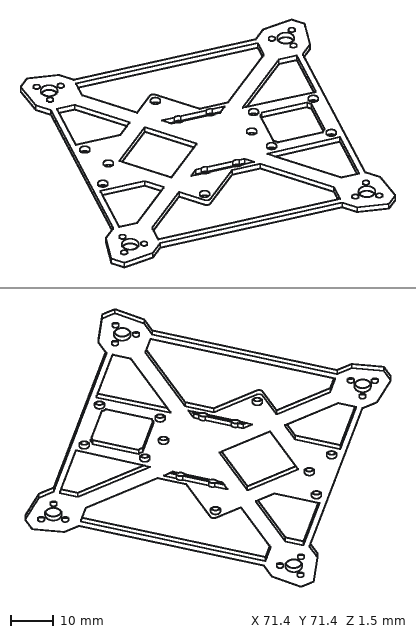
import cadquery as cq
import math


THICKNESS = 1.5
RAIL_OUTER = 31.65
RAIL_WIDTH = 1.5
RAIL_INNER = RAIL_OUTER - RAIL_WIDTH

ARM_WIDTH = 4.0
ARM_OFFSET = ARM_WIDTH / math.sqrt(2)

PAD_REACH = 35.71
PAD_NOSE = 33.25
PAD_SIDE = 34.47
PAD_INNER = 22.85
PAD_NECK = PAD_INNER + PAD_SIDE - RAIL_OUTER
MOTOR_DIAGONAL = 84.1
MOTOR_CENTRE = MOTOR_DIAGONAL / 2 / math.sqrt(2)
SHAFT_DIAMETER = 4.0
SCREW_DIAMETER = 1.6
SCREW_CIRCLE_RADIUS = 3.3
SCREW_COUNT = 3

PLATE_HALF_WIDTH = 8.95
PLATE_TOP_HALF_WIDTH = 8.75
WAIST_HALF_WIDTH = 11.9
BOLT_DIAMETER = 2.4

STACK_PITCH = 25.5
STACK_REACH = STACK_PITCH / math.sqrt(2)
STACK_Y = -7.03
TAB_TIP = 20.9
TAB_RADIUS = 1.0
CROSS_OUTER = TAB_TIP - STACK_Y
CROSS_INNER = CROSS_OUTER - 2 * ARM_OFFSET

BOLT_X = 6.6
CAMERA_Y = 21.22
CAMERA_BOLT_PITCH = 15.0
REAR_BOLT_Y = -28.7
WINDOW_WIDTH = 11.5
WINDOW_HEIGHT = 12.9
BOLT_LAND_RADIUS = 2.0

SLOT_WIDTH = 1.8
SLOT_X = PLATE_HALF_WIDTH + SLOT_WIDTH / 2
SLOT_BULGE_DIAMETER = 2.4
SLOT_BULGE_Y = 4.0


def prism(points):
    """Closed polygon extruded through the plate."""
    return cq.Workplane("XY").polyline(points).close().extrude(THICKNESS)


def discs(centres, diameter):
    """Round cutters or lands at the given centres."""
    return cq.Workplane("XY").pushPoints(centres).circle(diameter / 2).extrude(THICKNESS)


def both_sides(body):
    """A body on +X together with its mirror image on -X."""
    return body.union(body.mirror("YZ"))


def blank():
    """Outer outline: four pads joined by the straight outer edges of the rail."""
    corner = [
        (RAIL_OUTER, PAD_INNER),
        (PAD_SIDE, PAD_NECK),
        (PAD_REACH, PAD_NOSE),
        (PAD_NOSE, PAD_REACH),
        (PAD_NECK, PAD_SIDE),
        (PAD_INNER, RAIL_OUTER),
    ]
    outline = []
    for _ in range(4):
        outline += corner
        corner = [(-y, x) for x, y in corner]
    return prism(outline)


def motor_holes():
    """Shaft hole and three screw holes in each pad."""
    centre = (MOTOR_CENTRE, MOTOR_CENTRE)
    holes = discs([centre], SHAFT_DIAMETER)
    screws = []
    for i in range(SCREW_COUNT):
        angle = math.radians(45 + i * 360 / SCREW_COUNT)
        x = MOTOR_CENTRE + SCREW_CIRCLE_RADIUS * math.cos(angle)
        y = MOTOR_CENTRE + SCREW_CIRCLE_RADIUS * math.sin(angle)
        screws.append((x, y))
    holes = both_sides(holes.union(discs(screws, SCREW_DIAMETER)))
    return holes.union(holes.mirror("XZ"))


def front_pocket():
    """Pocket between the camera plate, the +Y rail and a front arm."""
    return prism([
        (PLATE_TOP_HALF_WIDTH, RAIL_INNER),
        (PAD_INNER, RAIL_INNER),
        (PAD_INNER, PAD_INNER + ARM_OFFSET),
        (PLATE_HALF_WIDTH, PLATE_HALF_WIDTH + ARM_OFFSET),
    ])


def side_pocket():
    """Large pocket beside the waist, indented by the rounded tab."""
    tab_top_y = STACK_Y + TAB_TIP - WAIST_HALF_WIDTH
    notch_x = (CROSS_OUTER + ARM_OFFSET) / 2
    pocket = prism([
        (RAIL_INNER, PAD_INNER),
        (PAD_INNER + ARM_OFFSET, PAD_INNER),
        (WAIST_HALF_WIDTH, WAIST_HALF_WIDTH - ARM_OFFSET),
        (WAIST_HALF_WIDTH, tab_top_y),
        (TAB_TIP, STACK_Y),
        (notch_x, notch_x - CROSS_OUTER),
        (PAD_INNER + ARM_OFFSET, -PAD_INNER),
        (RAIL_INNER, -PAD_INNER),
    ])
    tip = cq.NearestToPointSelector((TAB_TIP, STACK_Y, THICKNESS / 2))
    return pocket.edges("|Z").edges(tip).fillet(TAB_RADIUS)


def rear_pocket():
    """Pocket between the rear plate, the -Y rail and a rear arm."""
    apex_x = (CROSS_OUTER - ARM_OFFSET) / 2
    return prism([
        (PLATE_HALF_WIDTH, -RAIL_INNER),
        (PLATE_HALF_WIDTH, PLATE_HALF_WIDTH - CROSS_OUTER),
        (apex_x, apex_x - CROSS_OUTER),
        (PAD_INNER, -PAD_INNER - ARM_OFFSET),
        (PAD_INNER, -RAIL_INNER),
    ])


def diamond_window():
    """Square opening on its corner, bounded by the rear arms and the cross band."""
    half_diagonal = (CROSS_INNER - ARM_OFFSET) / 2
    middle_y = -(CROSS_INNER + ARM_OFFSET) / 2
    return prism([
        (half_diagonal, middle_y),
        (0, -ARM_OFFSET),
        (-half_diagonal, middle_y),
        (0, -CROSS_INNER),
    ])


def strap_slot():
    """Slot with ends parallel to the arms and two round bulges."""
    inner_x = SLOT_X - SLOT_WIDTH / 2
    outer_x = SLOT_X + SLOT_WIDTH / 2
    inner_y = inner_x - ARM_OFFSET
    outer_y = outer_x - ARM_OFFSET
    slot = prism([(inner_x, -inner_y), (outer_x, -outer_y), (outer_x, outer_y), (inner_x, inner_y)])
    bulges = [(SLOT_X, SLOT_BULGE_Y), (SLOT_X, -SLOT_BULGE_Y)]
    return slot.union(discs(bulges, SLOT_BULGE_DIAMETER))


def camera_bolts():
    """Centres of the four bolts around the camera window."""
    half_pitch = CAMERA_BOLT_PITCH / 2
    return [(x, CAMERA_Y + dy) for x in (-BOLT_X, BOLT_X) for dy in (-half_pitch, half_pitch)]


def camera_window():
    """Rectangular window whose corners leave a round land about each bolt."""
    window = cq.Workplane("XY").center(0, CAMERA_Y).rect(WINDOW_WIDTH, WINDOW_HEIGHT).extrude(THICKNESS)
    return window.cut(discs(camera_bolts(), 2 * BOLT_LAND_RADIUS))


def bolt_holes():
    """Camera, rear and stack bolt holes."""
    rear = [(-BOLT_X, REAR_BOLT_Y), (BOLT_X, REAR_BOLT_Y)]
    stack = [
        (STACK_REACH, STACK_Y),
        (0, STACK_Y + STACK_REACH),
        (-STACK_REACH, STACK_Y),
        (0, STACK_Y - STACK_REACH),
    ]
    return discs(camera_bolts() + rear + stack, BOLT_DIAMETER)


result = blank()
for cutter in (front_pocket(), side_pocket(), rear_pocket(), strap_slot()):
    result = result.cut(both_sides(cutter))
for cutter in (motor_holes(), diamond_window(), camera_window(), bolt_holes()):
    result = result.cut(cutter)